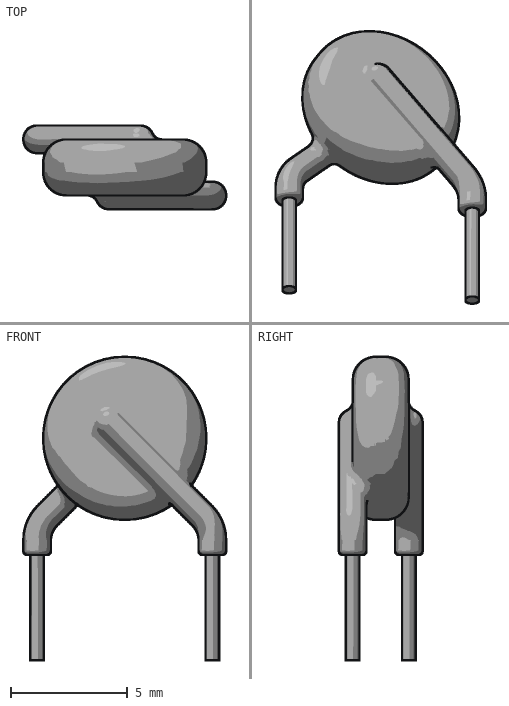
import cadquery as cq
import math

disc_diameter = 7.0
disc_thickness = 2.4
disc_edge_radius = 1.0

leg_diameter = 1.2
leg_pitch = 7.5
leg_bend_radius = 1.5
leg_past_center = 0.92
leg_end_round = 0.2
blend_radius = 0.43
wire_diameter = 0.6
seam_tolerance = 0.001

total_height = 13.0
wire_length = 4.5

disc_radius = disc_diameter / 2
leg_radius = leg_diameter / 2
leg_x = leg_pitch / 2
leg_y = -disc_thickness / 2
wire_bottom_z = disc_radius - total_height
leg_bottom_z = wire_bottom_z + wire_length

diagonal = math.sqrt(0.5)
bend_top_x = leg_x - leg_bend_radius * (1 - diagonal)
bend_top_z = -bend_top_x
bend_bottom_z = bend_top_z - leg_bend_radius * diagonal
leg_tip_x = -leg_past_center * diagonal


def make_front_half_disc():
    """Front half of the disc, flat at Y = 0, with a deeply rounded front rim."""
    return (
        cq.Workplane(cq.Plane(origin=(0, 0, 0), xDir=(0, 0, 1), normal=(0, -1, 0)))
        .circle(disc_radius)
        .extrude(disc_thickness / 2)
        .faces("<Y")
        .edges()
        .fillet(disc_edge_radius)
    )


def make_front_leg():
    """Bent round leg on the -Y face, with a ball tip and a rounded lower end."""
    bend_middle = (
        leg_x - leg_bend_radius * (1 - math.cos(math.pi / 8)),
        bend_bottom_z + leg_bend_radius * math.sin(math.pi / 8),
    )
    path = (
        cq.Workplane("XZ", origin=(0, leg_y, 0))
        .moveTo(leg_x, leg_bottom_z)
        .lineTo(leg_x, bend_bottom_z)
        .threePointArc(bend_middle, (bend_top_x, bend_top_z))
        .lineTo(leg_tip_x, -leg_tip_x)
    )
    leg = (
        cq.Workplane("XY", origin=(leg_x, leg_y, leg_bottom_z))
        .circle(leg_radius)
        .sweep(path)
        .faces("<Z")
        .edges()
        .fillet(leg_end_round)
    )
    tip = cq.Workplane("XY").sphere(leg_radius).translate((leg_tip_x, leg_y, -leg_tip_x))
    return leg.union(tip)


def half_turn(shape):
    """Turn a front feature about Z to its place on the back face."""
    return shape.rotate((0, 0, 0), (0, 0, 1), 180)


def touches(point, shape):
    """Whether a point lies on the surface of a shape."""
    return any(face.distance(point) < seam_tolerance for face in shape.val().Faces())


def make_front_half_coating():
    """Front half of the disc with its leg, blended along the seam where they meet."""
    half_disc = make_front_half_disc()
    leg = make_front_leg()
    half_coating = half_disc.union(leg)
    seam = []
    for edge in half_coating.edges().vals():
        point = cq.Vertex.makeVertex(*edge.positionAt(0.5).toTuple())
        if touches(point, half_disc) and touches(point, leg):
            seam.append(edge)
    return half_coating.newObject(seam).fillet(blend_radius)


def make_front_wire():
    """Bare wire below the front leg."""
    return (
        cq.Workplane("XY", origin=(leg_x, leg_y, wire_bottom_z))
        .circle(wire_diameter / 2)
        .extrude(wire_length)
    )


front_half = make_front_half_coating()
coating = front_half.union(half_turn(front_half)).clean()
front_wire = make_front_wire()
wires = [front_wire, half_turn(front_wire)]

result = cq.Compound.makeCompound([coating.solids().val(), *[wire.val() for wire in wires]])